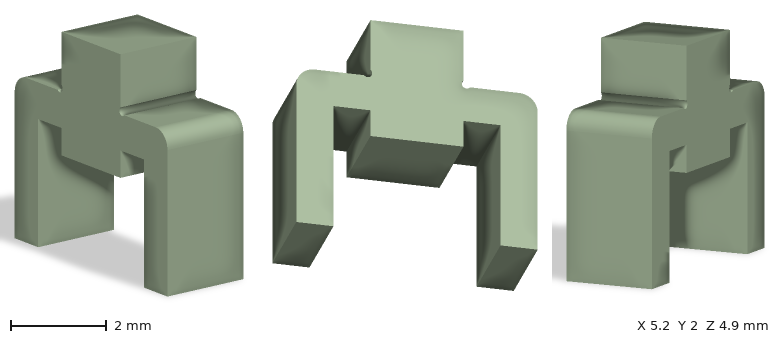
import cadquery as cq

span = 5.2
depth = 2.0
height = 4.9
wall = 0.8
block_width = 2.0
shoulder_height = 3.6
block_bottom = 2.2
corner_radius = 0.4
relief_radius = 0.1
relief_offset = 0.06


def box(width, bottom, top):
    """Full-depth box centred on the Z axis, between two heights."""
    return (
        cq.Workplane("XY")
        .workplane(offset=bottom)
        .rect(width, depth)
        .extrude(top - bottom)
    )


def bracket():
    """Upside-down U with rounded outer corners."""
    outer = box(span, 0, shoulder_height).edges("|Y and >Z").fillet(corner_radius)
    opening = box(span - 2 * wall, 0, shoulder_height - wall)
    return outer.cut(opening)


def corner_reliefs():
    """Round grooves undercutting both the block and the bridge at each inside corner."""
    center_x = block_width / 2 + relief_offset
    center_z = shoulder_height + relief_offset
    return (
        cq.Workplane("XZ")
        .pushPoints([(-center_x, center_z), (center_x, center_z)])
        .circle(relief_radius)
        .extrude(depth / 2, both=True)
    )


block = box(block_width, block_bottom, height)
result = bracket().union(block).cut(corner_reliefs())